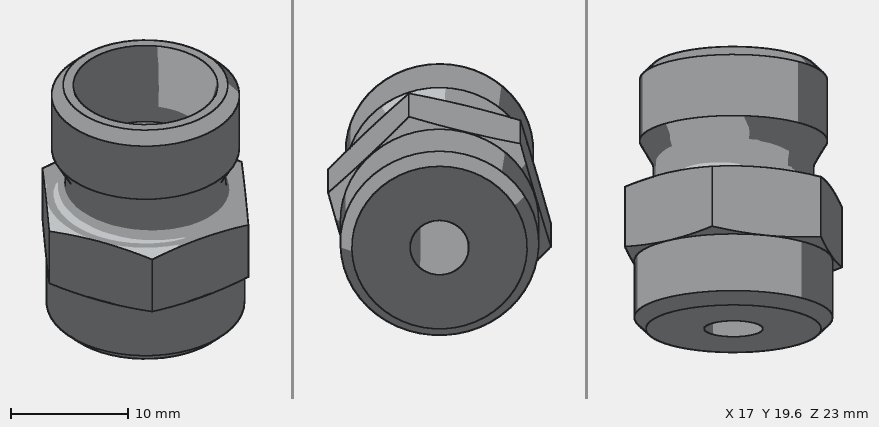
import cadquery as cq
import math

height = 23.0
hex_bottom = 6.0
hex_top = 12.0
cone_top = 16.6

across_flats = 17.0
lower_diameter = 16.9
groove_diameter = 13.7
upper_diameter = 16.0
end_chamfer = 1.0
groove_fillet = 1.0
undercut_half_angle = 30.0
hex_chamfer_angle = 15.0

mouth_diameter = 12.3
socket_diameter = 10.0
through_diameter = 5.0
taper_half_angle = 12.0
socket_depth = 7.0


def cylinder(diameter, bottom, top):
    return cq.Workplane("XY").workplane(offset=bottom).circle(diameter / 2).extrude(top - bottom)


def revolve_profile(points):
    """Turn a closed (radius, height) outline about the Z axis."""
    return cq.Workplane("XZ").polyline(points).close().revolve(360, (0, 0), (0, 1))


def lower_end():
    return cylinder(lower_diameter, 0, hex_bottom).faces("<Z").chamfer(end_chamfer)


def hexagon():
    """Hexagon with flats facing X and its corners chamfered at both ends."""
    across_corners = across_flats / math.cos(math.radians(30))
    flat_radius = across_flats / 2
    corner_radius = across_corners / 2
    corner_drop = (corner_radius - flat_radius) * math.tan(math.radians(hex_chamfer_angle))
    corner_cutter = revolve_profile([
        (0, hex_bottom),
        (flat_radius, hex_bottom),
        (corner_radius, hex_bottom + corner_drop),
        (corner_radius, hex_top - corner_drop),
        (flat_radius, hex_top),
        (0, hex_top),
    ])
    prism = (
        cq.Workplane("XY").workplane(offset=hex_bottom)
        .transformed(rotate=(0, 0, 30))
        .polygon(6, across_corners)
        .extrude(hex_top - hex_bottom)
    )
    return prism.intersect(corner_cutter)


def upper_end():
    """Chamfered upper cylinder above an undercut, with fillets at both ends of the groove."""
    groove_radius = groove_diameter / 2
    upper_radius = upper_diameter / 2
    cone_angle = math.radians(undercut_half_angle)
    cone_bottom = cone_top - (upper_radius - groove_radius) / math.tan(cone_angle)
    tangent_length = groove_fillet * math.tan(cone_angle / 2)
    arc_start = cone_bottom - tangent_length
    arc_end = (
        groove_radius + tangent_length * math.sin(cone_angle),
        cone_bottom + tangent_length * math.cos(cone_angle),
    )
    fillet_start_radius = groove_radius + groove_fillet
    outline = (
        cq.Workplane("XZ")
        .moveTo(0, hex_top)
        .lineTo(fillet_start_radius, hex_top)
        .radiusArc((groove_radius, hex_top + groove_fillet), groove_fillet)
        .lineTo(groove_radius, arc_start)
        .radiusArc(arc_end, groove_fillet)
        .lineTo(upper_radius, cone_top)
        .lineTo(upper_radius, height - end_chamfer)
        .lineTo(upper_radius - end_chamfer, height)
        .lineTo(0, height)
        .close()
    )
    return outline.revolve(360, (0, 0), (0, 1))


def bore():
    mouth_radius = mouth_diameter / 2
    socket_radius = socket_diameter / 2
    taper_depth = (mouth_radius - socket_radius) / math.tan(math.radians(taper_half_angle))
    socket = revolve_profile([
        (0, height - socket_depth),
        (socket_radius, height - socket_depth),
        (socket_radius, height - taper_depth),
        (mouth_radius, height),
        (0, height),
    ])
    return socket.union(cylinder(through_diameter, 0, height))


result = lower_end().union(hexagon()).union(upper_end()).cut(bore())